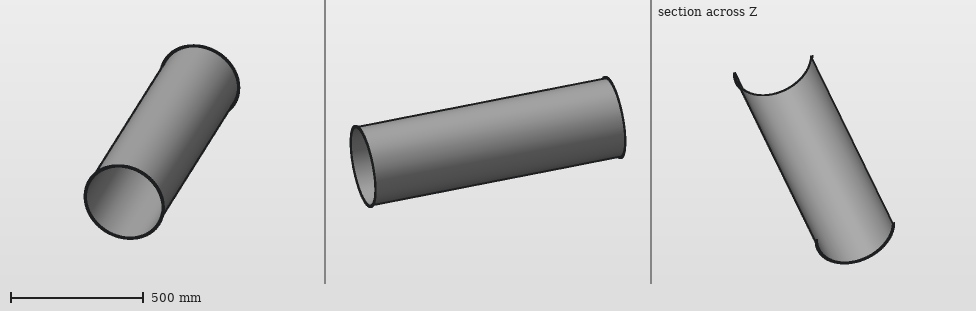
import cadquery as cq

length = 988.0
bore_diameter = 299.0
tube_diameter = 301.0
flange_diameter = 313.0
flange_thickness = (tube_diameter - bore_diameter) / 2


def ring(outer_diameter, start_y, ring_length):
    """Ring around the Y axis, open along the bore, running from start_y toward +Y."""
    return (
        cq.Workplane("XZ", origin=(0, start_y, 0))
        .circle(outer_diameter / 2)
        .circle(bore_diameter / 2)
        .extrude(-ring_length)
    )


result = ring(tube_diameter, -length / 2, length)
for flange_start in (-length / 2, length / 2 - flange_thickness):
    result = result.union(ring(flange_diameter, flange_start, flange_thickness))